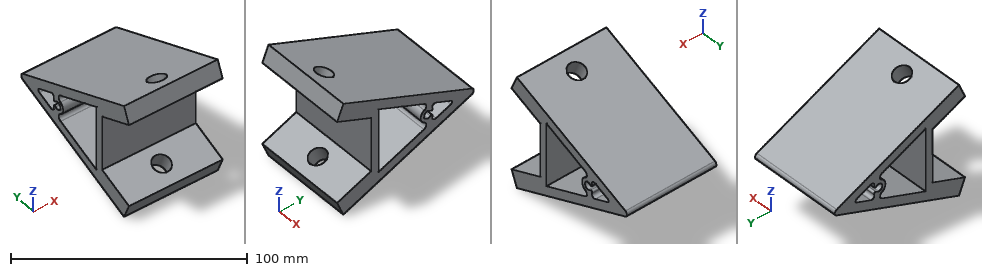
import cadquery as cq
import math

length = 74.5
width = 50.0
half_angle = math.radians(22.5)
sine, cosine, tangent = math.sin(half_angle), math.cos(half_angle), math.tan(half_angle)

nose_radius = 1.8
arm_thickness = 8.95
wall_thickness = 5.0
web_thickness = 4.0
web_back = 56.0

ring_depth = 25.1
ring_radius = 3.9
screw_radius = 2.0
cavity_fillet = 2.0
pocket_nose_radius = 1.05
pocket_corner_radius = 1.5
tooth_radius = 0.75
tooth_tip_angle = math.radians(-120)
tooth_half_gap = 1.2

hole_diameter = 9.0
hole_end_distance = 10.65

apex = nose_radius - nose_radius / sine
wall_apex = apex + wall_thickness / sine
outer_end_depth = length - arm_thickness * sine
outer_end_height = (outer_end_depth - apex) * tangent


def on_arc(center, radius, angle):
    """Point on a circle, with the angle in radians from the depth axis."""
    return (center[0] + radius * math.cos(angle), center[1] + radius * math.sin(angle))


def wall_normal_point(center, radius):
    """Point where a circle touches the sloping face above it."""
    return on_arc(center, radius, math.pi / 2 + half_angle)


def between(center_a, radius_a, center_b):
    """Point on circle a in the direction of center b."""
    angle = math.atan2(center_b[1] - center_a[1], center_b[0] - center_a[0])
    return on_arc(center_a, radius_a, angle)


def arc_middle(center, radius, start, end):
    """Middle of the shorter arc from start to end."""
    return between(center, radius, ((start[0] + end[0]) / 2, (start[1] + end[1]) / 2))


def center_under_wall(radius, other_center, distance, side):
    """Center of a circle touching the upper wall face, at a distance from another center.

    The side is +1 for the solution farther from the nose and -1 for the nearer one.
    """
    start = wall_apex + radius / sine
    offset = start - other_center[0]
    along = offset * cosine - other_center[1] * sine
    span = offset**2 + other_center[1]**2 - distance**2
    travel = -along + side * math.sqrt(along**2 - span)
    return (start + travel * cosine, travel * sine)


def extrude_mirrored(segments):
    """Extrude a closed profile given by its upper half.

    The first segment holds the starting point, which lies on the symmetry plane.
    Each later one holds an end point for a line, or a middle and end point for an arc.
    """
    def place(point, sign=1):
        return (length / 2 - point[0], sign * point[1])

    sketch = cq.Workplane("YZ", origin=(-width / 2, 0, 0)).moveTo(*place(segments[0][-1]))
    for segment in segments[1:]:
        if len(segment) == 1:
            sketch = sketch.lineTo(*place(segment[0]))
        else:
            sketch = sketch.threePointArc(*map(place, segment))
    if segments[-1][-1][1] > 0:
        sketch = sketch.lineTo(*place(segments[-1][-1], -1))
    for index in range(len(segments) - 1, 0, -1):
        start = place(segments[index - 1][-1], -1)
        if len(segments[index]) == 1:
            sketch = sketch.lineTo(*start)
        else:
            sketch = sketch.threePointArc(place(segments[index][0], -1), start)
    return sketch.close().extrude(width)


def arc_to(center, radius, start, end):
    """Arc segment along the shorter way from start to end."""
    return [arc_middle(center, radius, start, end), end]


def make_body():
    nose_center = (nose_radius, 0)
    nose_tip = (0, 0)
    nose_end = wall_normal_point(nose_center, nose_radius)
    inner_end = (length, outer_end_height - arm_thickness * cosine)
    web_corner = (web_back, inner_end[1] - (length - web_back) * tangent)
    return extrude_mirrored([
        [nose_tip],
        arc_to(nose_center, nose_radius, nose_tip, nose_end),
        [(outer_end_depth, outer_end_height)],
        [inner_end],
        [web_corner],
    ])


def make_cavity():
    ring_center = (ring_depth, 0)
    ring_tip = (ring_depth + ring_radius, 0)
    fillet_center = center_under_wall(cavity_fillet, ring_center, ring_radius + cavity_fillet, 1)
    ring_end = between(ring_center, ring_radius, fillet_center)
    fillet_end = wall_normal_point(fillet_center, cavity_fillet)
    fillet_middle = on_arc(fillet_center, cavity_fillet, math.pi)
    web_front = web_back - web_thickness
    return extrude_mirrored([
        [ring_tip],
        arc_to(ring_center, ring_radius, ring_tip, ring_end),
        [fillet_middle, fillet_end],
        [(web_front, (web_front - wall_apex) * tangent)],
    ])


def make_screw_pocket():
    screw_center = (ring_depth, 0)
    tooth_height = tooth_half_gap + tooth_radius
    tooth_reach = math.sqrt((screw_radius + tooth_radius)**2 - tooth_height**2)
    tooth_center = (ring_depth - tooth_reach, tooth_height)
    corner_center = center_under_wall(
        pocket_corner_radius, tooth_center, pocket_corner_radius + tooth_radius, -1)
    nose_center = (wall_apex + pocket_nose_radius / sine, 0)

    nose_tip = (nose_center[0] - pocket_nose_radius, 0)
    nose_end = wall_normal_point(nose_center, pocket_nose_radius)
    corner_start = wall_normal_point(corner_center, pocket_corner_radius)
    tooth_start = between(corner_center, pocket_corner_radius, tooth_center)
    tooth_end = between(screw_center, screw_radius, tooth_center)
    tooth_middle = on_arc(tooth_center, tooth_radius, tooth_tip_angle)
    screw_top = (ring_depth, screw_radius)
    screw_tip = (ring_depth + screw_radius, 0)
    screw_middle = arc_middle(screw_center, screw_radius, screw_top, screw_tip)
    return extrude_mirrored([
        [nose_tip],
        arc_to(nose_center, pocket_nose_radius, nose_tip, nose_end),
        [corner_start],
        arc_to(corner_center, pocket_corner_radius, corner_start, tooth_start),
        [tooth_middle, tooth_end],
        arc_to(screw_center, screw_radius, tooth_end, screw_top),
        [screw_middle, screw_tip],
    ])


def make_arm_hole(side):
    """Hole square to one arm; side is +1 for the upper arm and -1 for the lower."""
    depth = outer_end_depth - hole_end_distance * cosine
    height = outer_end_height - hole_end_distance * sine
    entry = cq.Vector(0, length / 2 - depth, side * height)
    inward = cq.Vector(0, -sine, -side * cosine)
    clearance = 0.75
    return cq.Workplane(cq.Solid.makeCylinder(
        hole_diameter / 2, arm_thickness + 2 * clearance, entry - inward * clearance, inward))


result = make_body().cut(make_cavity()).cut(make_screw_pocket())
for arm_side in (1, -1):
    result = result.cut(make_arm_hole(arm_side))